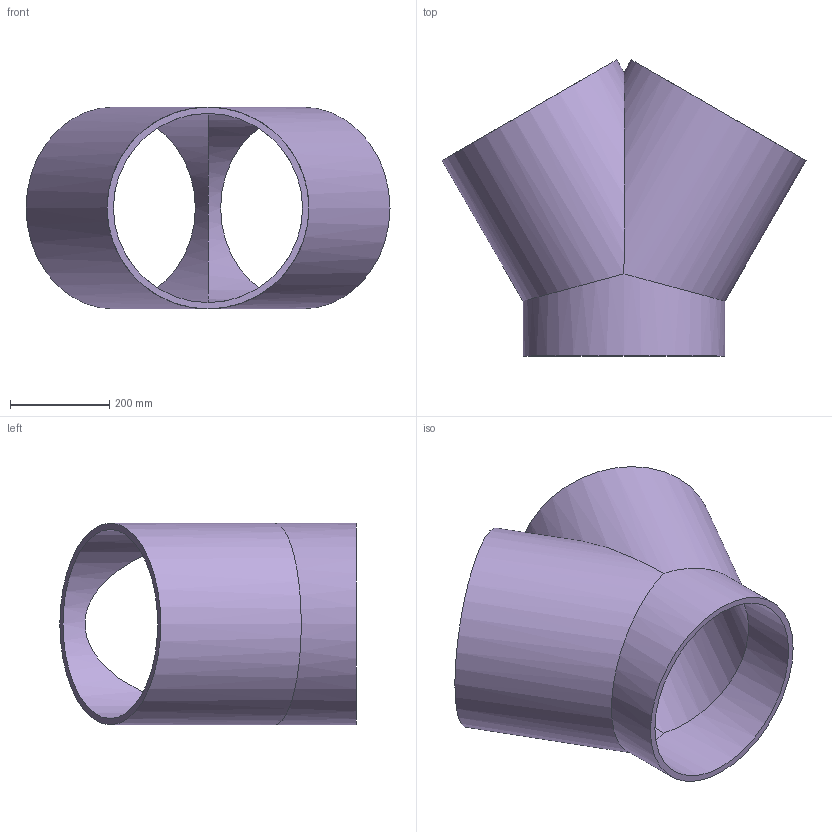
import cadquery as cq
import math


outer_diameter = 406.4
bore_diameter = 381.0
inlet_length = 165.1
outlet_length = 381.0
outlet_spread = 30.0

inlet_angle = -90.0
right_outlet_angle = 90.0 - outlet_spread
left_outlet_angle = 90.0 + outlet_spread
crotch_angle = 90.0
right_mitre_angle = (inlet_angle + right_outlet_angle) / 2
left_mitre_angle = 180.0 - right_mitre_angle

trim_reach = 4 * outer_diameter


def planar_point(angle, distance):
    """Point in the XY plane at a given direction and distance from the origin."""
    radians = math.radians(angle)
    return (distance * math.cos(radians), distance * math.sin(radians))


def make_tube(axis_angle, length):
    """Straight pipe ending at the given length, and running back past the origin."""
    end_x, end_y = planar_point(axis_angle, length)
    inward_x, inward_y = planar_point(axis_angle + 180.0, 1.0)
    end_plane = cq.Plane(
        origin=(end_x, end_y, 0), xDir=(0, 0, 1), normal=(inward_x, inward_y, 0)
    )
    return (
        cq.Workplane(end_plane)
        .circle(outer_diameter / 2)
        .circle(bore_diameter / 2)
        .extrude(length + outer_diameter)
    )


def make_sector(start_angle, axis_angle, end_angle):
    """Wedge around a pipe axis, bounded by the two mitre planes of that pipe."""
    return (
        cq.Workplane("XY")
        .moveTo(0, 0)
        .lineTo(*planar_point(start_angle, trim_reach))
        .lineTo(*planar_point(axis_angle, trim_reach))
        .lineTo(*planar_point(end_angle, trim_reach))
        .close()
        .extrude(outer_diameter, both=True)
    )


def make_leg(start_angle, axis_angle, end_angle, length):
    """Pipe trimmed to its mitre planes."""
    return make_tube(axis_angle, length).intersect(
        make_sector(start_angle, axis_angle, end_angle)
    )


inlet = make_leg(left_mitre_angle - 360.0, inlet_angle, right_mitre_angle, inlet_length)
right_outlet = make_leg(right_mitre_angle, right_outlet_angle, crotch_angle, outlet_length)
left_outlet = make_leg(crotch_angle, left_outlet_angle, left_mitre_angle, outlet_length)

result = inlet.union(right_outlet).union(left_outlet)